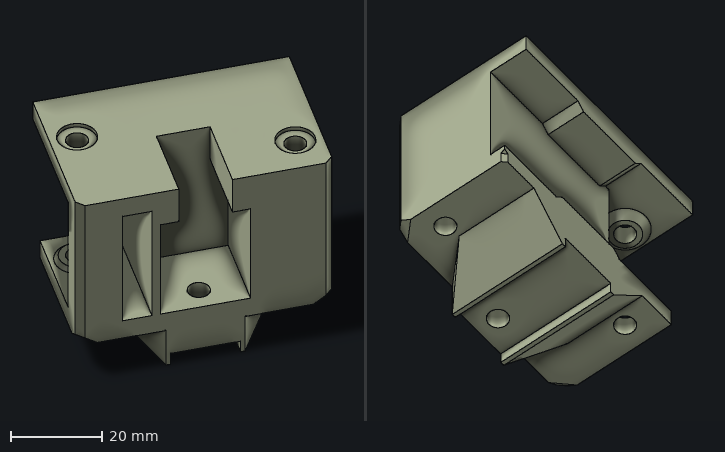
import cadquery as cq
import math

length_x = 37.0
width_y = 58.35
height_z = 50.0
mid_y = width_y / 2

plate_thickness = 5.0
rail_height = 10.0
floor_z = rail_height + plate_thickness
ceiling_z = height_z - plate_thickness
lower_plate_x = 6.0
corner_chamfer = 1.8

block_x = 10.0
block_y = 17.0

wall_x = 29.3
wall_flat_end_y = 3.9
wall_tip_y = 6.6
wall_end_y = 10.3
wall_arc_radius = 15.2
wall_bevel_x = 3.15

pad_height = 2.0
pad_tip_half = 9.05
pad_base_half = pad_tip_half + pad_height

rail_bottom_half = 9.0
rail_top_half = rail_bottom_half + rail_height
rail_taper_x = length_x - rail_height
rail_groove_half = 7.95
rail_groove_depth = 3.1

notch_x = 18.45
notch_width = 12.2
notch_half = notch_width / 2
notch_depth = 9.35
pocket_wall = 2.0
pocket_half = mid_y - block_y - pocket_wall

hole_diameter = 5.0
rail_hole_diameter = 5.1
recess_diameter = 9.0
recess_depth = 1.0
front_hole = (14.0, 6.25)
rear_hole = (27.7, 52.1)
rail_hole = (31.35, mid_y)
lower_boss_base_radius = 5.15
lower_boss_height = 1.0
upper_boss_base_radius = 5.7
upper_boss_height = 1.85

outer_bevel_leg = 4.55
inner_bevel_leg = 1.1
inner_bevel_wall_z = 12.95


def box(x0, x1, y0, y1, z0, z1):
    return cq.Workplane("XY").box(x1 - x0, y1 - y0, z1 - z0, centered=False).translate((x0, y0, z0))


def extrude_along_x(points_yz, x0, x1):
    return cq.Workplane("YZ").workplane(offset=x0).polyline(points_yz).close().extrude(x1 - x0)


def cylinder(center, diameter, z0, z1):
    return cq.Workplane("XY").workplane(offset=z0).center(*center).circle(diameter / 2).extrude(z1 - z0)


def cone_boss(center, base_z, base_radius, boss_height, direction):
    """45 degree cone frustum growing up (+1) or down (-1) from a plate."""
    axis = cq.Vector(0, 0, direction)
    base = cq.Vector(center[0], center[1], base_z)
    return cq.Workplane(cq.Solid.makeCone(base_radius, base_radius - boss_height, boss_height, base, axis))


def front_wall():
    arc_angle = math.asin((wall_tip_y - wall_flat_end_y) / wall_arc_radius)
    arc_center_x = wall_x - wall_arc_radius
    tip_x = arc_center_x + wall_arc_radius * math.cos(arc_angle)
    arc_mid = (
        arc_center_x + wall_arc_radius * math.cos(arc_angle / 2),
        wall_flat_end_y + wall_arc_radius * math.sin(arc_angle / 2),
    )
    return (
        cq.Workplane("XY").workplane(offset=floor_z)
        .moveTo(length_x, 0)
        .lineTo(wall_x, 0)
        .lineTo(wall_x, wall_flat_end_y)
        .threePointArc(arc_mid, (tip_x, wall_tip_y))
        .lineTo(tip_x + wall_bevel_x, wall_end_y)
        .lineTo(length_x, wall_end_y)
        .close()
        .extrude(ceiling_z - floor_z)
    )


def locking_pad(x0, plate_z, direction):
    tip_z = plate_z + direction * pad_height
    profile = [
        (mid_y - pad_base_half, plate_z),
        (mid_y - pad_tip_half, tip_z),
        (mid_y + pad_tip_half, tip_z),
        (mid_y + pad_base_half, plate_z),
    ]
    return extrude_along_x(profile, x0, block_x)


def dovetail_rail():
    profile = [
        (mid_y - rail_top_half, rail_height),
        (mid_y - rail_bottom_half, 0),
        (mid_y - rail_groove_half, 0),
        (mid_y - rail_groove_half, rail_groove_depth),
        (mid_y + rail_groove_half, rail_groove_depth),
        (mid_y + rail_groove_half, 0),
        (mid_y + rail_bottom_half, 0),
        (mid_y + rail_top_half, rail_height),
    ]
    plan = [
        (lower_plate_x, mid_y - rail_top_half),
        (rail_taper_x, mid_y - rail_top_half),
        (length_x, mid_y - rail_bottom_half),
        (length_x, mid_y + rail_bottom_half),
        (rail_taper_x, mid_y + rail_top_half),
        (lower_plate_x, mid_y + rail_top_half),
    ]
    footprint = cq.Workplane("XY").polyline(plan).close().extrude(rail_height)
    return extrude_along_x(profile, lower_plate_x, length_x).intersect(footprint)


def corner_bevel(corner, out_x, out_y, leg, wall_z):
    """Cutter across a vertical corner: upright up to wall_z, then sloping outwards at 45 degrees."""
    depth = leg / math.sqrt(2)
    plane = cq.Plane(
        origin=(corner[0], corner[1], 0),
        xDir=(out_x, out_y, 0),
        normal=(out_y, -out_x, 0),
    )
    profile = [
        (-depth, 0),
        (-depth, wall_z),
        (0, wall_z + depth),
        (0, 0),
    ]
    return cq.Workplane(plane).polyline(profile).close().extrude(leg, both=True)


upper_plate = box(0, length_x, 0, width_y, ceiling_z, height_z)
lower_plate = box(lower_plate_x, length_x, 0, width_y, rail_height, floor_z)
block = box(block_x, length_x, block_y, width_y, floor_z, ceiling_z)
body = upper_plate.union(lower_plate).union(block).union(front_wall())
body = body.edges("|Z and >X").edges("<Y or >Y").chamfer(corner_chamfer)

for corner_y, out_y in ((0, -1), (width_y, 1)):
    bevel_corner = (length_x, corner_y)
    body = body.cut(corner_bevel(bevel_corner, 1, out_y, outer_bevel_leg, rail_height))
body = body.cut(corner_bevel((lower_plate_x, width_y), -1, 1, inner_bevel_leg, inner_bevel_wall_z))

body = body.union(locking_pad(0, ceiling_z, -1))
body = body.union(locking_pad(lower_plate_x, floor_z, 1))
body = body.union(dovetail_rail())
body = body.union(cone_boss(front_hole, floor_z, lower_boss_base_radius, lower_boss_height, 1))
body = body.union(cone_boss(front_hole, ceiling_z, upper_boss_base_radius, upper_boss_height, -1))

body = body.cut(box(notch_x, length_x, mid_y - notch_half, mid_y + notch_half, floor_z, height_z))
pocket_top_z = height_z - notch_depth
body = body.cut(box(notch_x, length_x, mid_y - pocket_half, mid_y + pocket_half, floor_z, pocket_top_z))

for hole in (front_hole, rear_hole):
    body = body.cut(cylinder(hole, hole_diameter, 0, height_z))
    body = body.cut(cylinder(hole, recess_diameter, height_z - recess_depth, height_z))
result = body.cut(cylinder(rail_hole, rail_hole_diameter, 0, height_z))